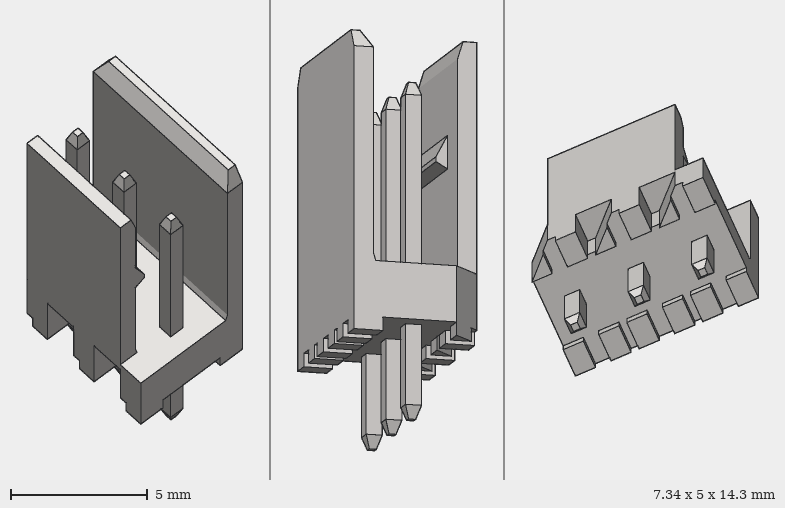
import cadquery as cq

PIN_COUNT = 3
PITCH = 2.55
SEGMENT_HALF_WIDTH = 1.12
DEPTH = 5.0
ROW_HALF = PITCH * (PIN_COUNT - 1) / 2
WIDTH = 2 * (ROW_HALF + SEGMENT_HALF_WIDTH)
BACK = DEPTH / 2
FRONT = -DEPTH / 2
PIN_POSITIONS = [i * PITCH - ROW_HALF for i in range(PIN_COUNT)]

FOOT_HEIGHT = 0.5
BASE_TOP = 2.6
HOUSING_TOP = 11.28

FOOT_DEPTH = 1.1
RELIEF_TOP = 2.29

WALL_THICKNESS = 0.75
WALL_ROOT_FLARE = 0.09
WALL_ROOT_HEIGHT = 0.27
WALL_BEVEL_HEIGHT = 0.69
BACK_BEVEL_DEPTH = 0.4
FRONT_BEVEL_DEPTH = 0.21

LATCH_LEFT = -PITCH / 2
LATCH_HEIGHT = 0.45
LATCH_BOTTOM = 6.78
LATCH_TIP_BOTTOM = 7.02
LATCH_TIP_TOP = 7.21
LATCH_TOP = 8.04

PIN_SIZE = 0.61
PIN_TIP_SIZE = 0.27
PIN_TAPER = 0.5
PIN_BOTTOM = -3.02
PIN_TOP = 9.6


def block(x_min, x_max, y_min, y_max, z_min, z_max):
    """Box given by its limits along each axis."""
    size = (x_max - x_min, y_max - y_min, z_max - z_min)
    return cq.Workplane("XY").box(*size, centered=False).translate((x_min, y_min, z_min))


def extrude_along_x(profile, x_min, x_max):
    """Extrude a closed (y, z) outline between two X positions."""
    return cq.Workplane("YZ").workplane(offset=x_min).polyline(profile).close().extrude(x_max - x_min)


def base():
    """Base with a cut front-left corner, reliefs between pins and grooves underneath."""
    body = block(-WIDTH / 2, WIDTH / 2, FRONT, BACK, 0, BASE_TOP)

    for index, pin_x in enumerate(PIN_POSITIONS):
        slant_start = pin_x - SEGMENT_HALF_WIDTH
        outline = [(pin_x, FRONT), (slant_start, FRONT + FOOT_DEPTH)]
        if index == 0:
            outline.append((slant_start, FRONT))
            top = BASE_TOP
        else:
            previous_end = PIN_POSITIONS[index - 1] + SEGMENT_HALF_WIDTH
            outline += [(previous_end, FRONT + FOOT_DEPTH), (previous_end, FRONT)]
            top = RELIEF_TOP
            body = body.cut(block(previous_end, slant_start, FRONT, BACK, 0, FOOT_HEIGHT))
        body = body.cut(cq.Workplane("XY").polyline(outline).close().extrude(top))

    body = body.cut(block(-WIDTH / 2, WIDTH / 2, FRONT + FOOT_DEPTH, BACK - FOOT_DEPTH, 0, FOOT_HEIGHT))
    for pin_x in PIN_POSITIONS:
        body = body.cut(block(pin_x - PIN_SIZE / 2, pin_x + PIN_SIZE / 2, FRONT, BACK, 0, FOOT_HEIGHT))
    return body


def wall_profile(outer, inward, bevel_depth):
    """Wall section with a flared root and a bevelled inner top edge."""
    inner = outer + inward * WALL_THICKNESS
    return [
        (outer, BASE_TOP),
        (inner + inward * WALL_ROOT_FLARE, BASE_TOP),
        (inner, BASE_TOP + WALL_ROOT_HEIGHT),
        (inner, HOUSING_TOP - WALL_BEVEL_HEIGHT),
        (inner - inward * bevel_depth, HOUSING_TOP),
        (outer, HOUSING_TOP),
    ]


def back_wall():
    """Full-width wall with both upper corners bevelled."""
    wall = extrude_along_x(wall_profile(BACK, -1, BACK_BEVEL_DEPTH), -WIDTH / 2, WIDTH / 2)
    for side in (-1, 1):
        edge = side * WIDTH / 2
        corner = [
            (edge, HOUSING_TOP),
            (edge, HOUSING_TOP - WALL_BEVEL_HEIGHT),
            (edge - side * BACK_BEVEL_DEPTH, HOUSING_TOP),
        ]
        wall = wall.cut(cq.Workplane("XZ").polyline(corner).close().extrude(DEPTH, both=True))
    return wall


def front_wall():
    """Narrower wall spanning the pin row, with its latch ridge."""
    wall = extrude_along_x(wall_profile(FRONT, 1, FRONT_BEVEL_DEPTH), -ROW_HALF, ROW_HALF)
    root = FRONT + WALL_THICKNESS
    tip = root + LATCH_HEIGHT
    ridge = [
        (FRONT, LATCH_BOTTOM),
        (root, LATCH_BOTTOM),
        (tip, LATCH_TIP_BOTTOM),
        (tip, LATCH_TIP_TOP),
        (root, LATCH_TOP),
        (FRONT, LATCH_TOP),
    ]
    return wall.union(extrude_along_x(ridge, LATCH_LEFT, ROW_HALF))


def pin():
    """Square pin with a truncated pyramid at each end."""
    half = PIN_SIZE / 2
    shaft_bottom = PIN_BOTTOM + PIN_TAPER
    shaft_top = PIN_TOP - PIN_TAPER
    shaft = block(-half, half, -half, half, shaft_bottom, shaft_top)
    for end, direction in ((shaft_bottom, -1), (shaft_top, 1)):
        tip = (
            cq.Workplane("XY", origin=(0, 0, end))
            .rect(PIN_SIZE, PIN_SIZE)
            .workplane(offset=direction * PIN_TAPER)
            .rect(PIN_TIP_SIZE, PIN_TIP_SIZE)
            .loft(ruled=True)
        )
        shaft = shaft.union(tip)
    return shaft


result = base().union(back_wall()).union(front_wall())
for pin_x in PIN_POSITIONS:
    result = result.union(pin().translate((pin_x, 0, 0)))